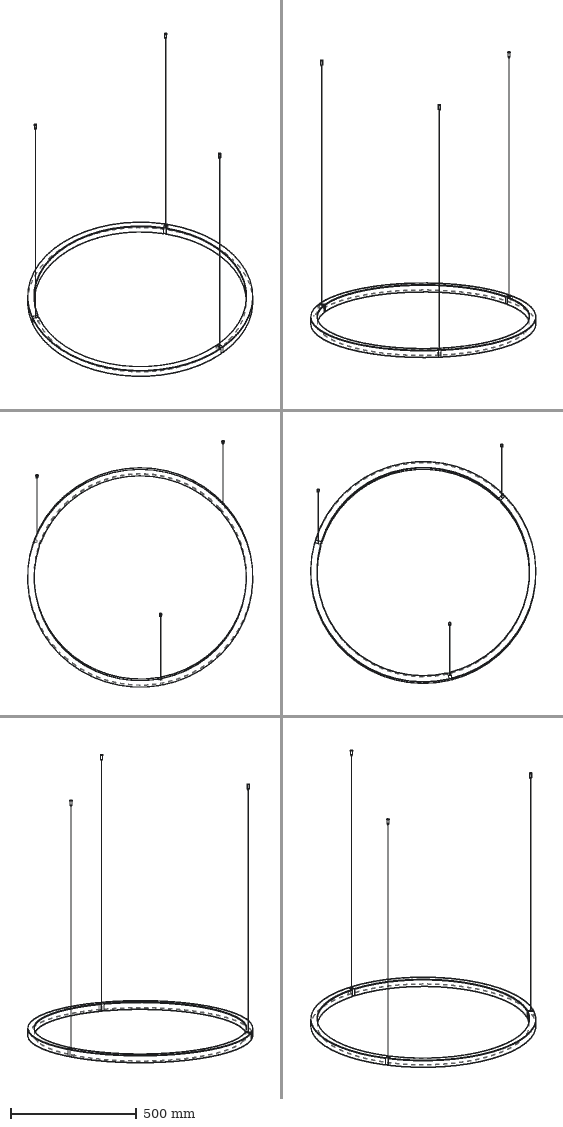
import cadquery as cq

TOTAL_HEIGHT = 1053.0
RING_HEIGHT = 32.0
RING_OUTER_DIAMETER = 900.0
RING_INNER_DIAMETER = 847.0

CORE_OUTER_DIAMETER = 898.0
CORE_INNER_DIAMETER = 851.0
BEVEL_HEIGHT = 3.0

PLATE_THICKNESS = 2.0

CABLE_COUNT = 3
NOTCH_WIDTH = 12.0
NOTCH_TOP_DEPTH = 1.0
NOTCH_CUTTER_LENGTH = 53.0

CABLE_DIAMETER = 1.2
CABLE_SOCKET_DEPTH = 5.0
GRIP_FLANGE_DIAMETER = 11.0
GRIP_FLANGE_THICKNESS = 1.0
GRIP_BODY_DIAMETER = 9.0
GRIP_BODY_LENGTH = 18.0
GRIP_NIPPLE_DIAMETER = 4.0
GRIP_NIPPLE_LENGTH = 4.0

cable_circle_radius = (RING_OUTER_DIAMETER + RING_INNER_DIAMETER) / 4
socket_floor = RING_HEIGHT - NOTCH_TOP_DEPTH - CABLE_SOCKET_DEPTH
flange_bottom = TOTAL_HEIGHT - GRIP_FLANGE_THICKNESS
body_bottom = flange_bottom - GRIP_BODY_LENGTH
grip_bottom = body_bottom - GRIP_NIPPLE_LENGTH
cable_angles = [index * 360 / CABLE_COUNT for index in range(CABLE_COUNT)]


def cylinder(diameter, bottom, height):
    """Upright cylinder on the Z axis."""
    return cq.Workplane("XY").workplane(offset=bottom).circle(diameter / 2).extrude(height)


def annulus(outer_diameter, inner_diameter, bottom, height):
    """Upright ring on the Z axis."""
    return cylinder(outer_diameter, bottom, height).cut(cylinder(inner_diameter, bottom, height))


def at_cable(shape, angle):
    """Move a shape from the Z axis to the cable position at the given angle."""
    return shape.translate((cable_circle_radius, 0, 0)).rotate((0, 0, 0), (0, 0, 1), angle)


def make_cable():
    """Straight cable from the floor of its ring socket to the underside of the grip."""
    return cylinder(CABLE_DIAMETER, socket_floor, grip_bottom - socket_floor)


def make_grip():
    """Ceiling grip: thin flange on top, round body, narrow nipple below."""
    nipple = cylinder(GRIP_NIPPLE_DIAMETER, grip_bottom, GRIP_NIPPLE_LENGTH)
    body = cylinder(GRIP_BODY_DIAMETER, body_bottom, GRIP_BODY_LENGTH)
    flange = cylinder(GRIP_FLANGE_DIAMETER, flange_bottom, GRIP_FLANGE_THICKNESS)
    return nipple.union(body).union(flange)


def make_notch_cutter():
    """Radial block on the +X side, less the core that stays in the ring at a notch."""
    block = cq.Workplane("XY").box(
        NOTCH_CUTTER_LENGTH, NOTCH_WIDTH, RING_HEIGHT, centered=(True, True, False)
    )
    core = annulus(
        CORE_OUTER_DIAMETER, CORE_INNER_DIAMETER, 0, RING_HEIGHT - NOTCH_TOP_DEPTH
    )
    return block.translate((cable_circle_radius, 0, 0)).cut(core)


def cut_notches(ring):
    """Cut the notch at every cable out of a ring."""
    for angle in cable_angles:
        ring = ring.cut(make_notch_cutter().rotate((0, 0, 0), (0, 0, 1), angle))
    return ring


def make_housing():
    """Ring with bevelled top edges, and one notch and one cable socket at each cable."""
    shoulder = RING_HEIGHT - BEVEL_HEIGHT
    profile = [
        (RING_INNER_DIAMETER / 2, PLATE_THICKNESS),
        (RING_OUTER_DIAMETER / 2, PLATE_THICKNESS),
        (RING_OUTER_DIAMETER / 2, shoulder),
        (CORE_OUTER_DIAMETER / 2, RING_HEIGHT),
        (CORE_INNER_DIAMETER / 2, RING_HEIGHT),
        (RING_INNER_DIAMETER / 2, shoulder),
    ]
    blank = cq.Workplane("XZ").polyline(profile).close().revolve(360, (0, 0, 0), (0, 1, 0))
    housing = cut_notches(blank)
    for angle in cable_angles:
        housing = housing.cut(at_cable(make_cable(), angle))
    return housing


def make_plate():
    """Flat closing plate under the housing, notched in line with it."""
    return cut_notches(annulus(RING_OUTER_DIAMETER, RING_INNER_DIAMETER, 0, PLATE_THICKNESS))


housing = make_housing()
plate = make_plate()
cables = [at_cable(make_cable(), angle).val() for angle in cable_angles]
grips = [at_cable(make_grip(), angle).val() for angle in cable_angles]

result = cq.Compound.makeCompound([housing.val(), plate.val(), *cables, *grips])